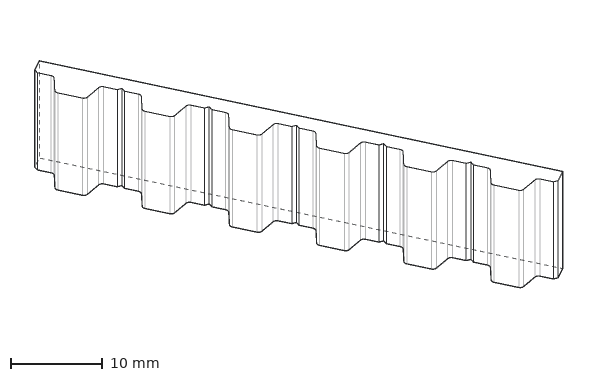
import cadquery as cq
import math

belt_length = 60.0
belt_width = 14.0
belt_thickness = 4.5
tooth_count = 6
tooth_height = 2.5
tooth_root_width = 5.35
flank_angle = 20.0
tip_radius = 0.5
root_radius = 0.5
notch_half_width = 0.4
notch_depth = 0.35

pitch = belt_length / tooth_count
back_y = belt_thickness / 2
tip_y = -belt_thickness / 2
root_y = tip_y + tooth_height
root_half_width = tooth_root_width / 2
tip_half_width = root_half_width - tooth_height * math.tan(math.radians(flank_angle))
tooth_centres = [(i + 0.5) * pitch - belt_length / 2 for i in range(tooth_count)]


def pitch_outline(centre):
    """Lower outline of one pitch, with half a V-notch at each end."""
    half_pitch = pitch / 2
    half_outline = [
        (half_pitch, root_y + notch_depth),
        (half_pitch - notch_half_width, root_y),
        (root_half_width, root_y),
        (tip_half_width, tip_y),
    ]
    left = [(centre - x, y) for x, y in half_outline]
    right = [(centre + x, y) for x, y in reversed(half_outline)]
    return left + right


def round_tooth_edges(body, half_width, y, radius):
    """Round the pair of edges at one level of every tooth."""
    corners = [(centre + side * half_width, y) for centre in tooth_centres for side in (-1, 1)]
    edges = cq.Workplane("XY")
    for x, corner_y in corners:
        nearest = cq.selectors.NearestToPointSelector((x, corner_y, 0))
        edges = edges.add(body.edges("|Z").edges(nearest))
    return body.newObject(edges.vals()).fillet(radius)


outline = [(-belt_length / 2, back_y)]
for index, tooth_centre in enumerate(tooth_centres):
    outline += pitch_outline(tooth_centre)[min(index, 1):]
outline.append((belt_length / 2, back_y))

belt = cq.Workplane("XY").polyline(outline).close().extrude(belt_width / 2, both=True)
belt = round_tooth_edges(belt, tip_half_width, tip_y, tip_radius)
result = round_tooth_edges(belt, root_half_width, root_y, root_radius)